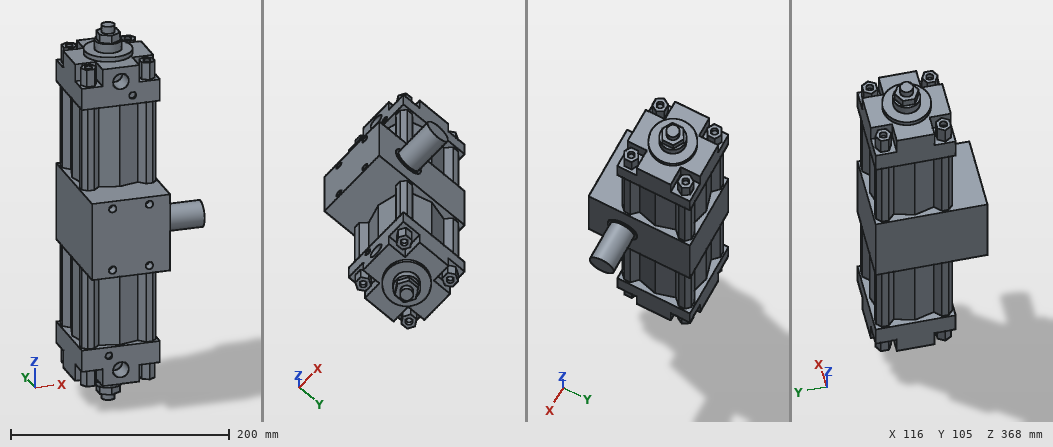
import cadquery as cq
import math


total_height = 368.0
total_width = 116.0
total_depth = 105.0

body_width = 75.0
half_width = body_width / 2
block_height = 75.0
cap_height = 37.5
cap_top = 156.0
cap_bottom = cap_top - cap_height

recess_width = 20.0
recess_depth = 16.5
recess_floor = cap_top - recess_depth

rod_spacing = 56.3
rod_offset = rod_spacing / 2
rod_sides = 8
hexagon_sides = 6
rod_width = 15.0
nut_width = 13.0
nut_hole_diameter = 6.5
nut_hole_depth = 5.5
nut_hole_point_depth = 2.0

tube_ridge = 34.5
tube_corner = 27.2

flange_diameter = 45.0
flange_height = 4.5
boss_diameter = 25.0
boss_height = 9.0
lock_nut_width = 19.5
lock_nut_height = 7.7
stud_diameter = 12.0

port_diameter = 15.0
port_depth = 18.5
port_z = 142.0
screw_diameter = 6.5
screw_depth = 2.2
screw_x = 11.5
screw_z = 127.0

mount_diameter = 7.0
mount_depth = 11.0
mount_x = 17.5
mount_z = 30.0

shaft_diameter = 25.0
shaft_y = -32.0
collar_diameter = 30.0
collar_thickness = 1.0

block_front = half_width - total_depth
rod_corners = [(-1, -1), (1, -1), (1, 1), (-1, 1)]


def across_corners(width, sides):
    """Diameter through the corners of a regular polygon with an even number of sides."""
    return width / math.cos(math.pi / sides)


def prism(width, sides, bottom, height, turn):
    """Upright regular prism on the Z axis; at turn 0 a corner points along +X."""
    outline = cq.Workplane("XY").workplane(offset=bottom).polygon(sides, across_corners(width, sides))
    return outline.extrude(height).rotate((0, 0, 0), (0, 0, 1), turn)


def disc(diameter, bottom, height):
    return cq.Workplane("XY").workplane(offset=bottom).circle(diameter / 2).extrude(height)


def front_hole(diameter, depth, face_y, x, z):
    """Cutter for a blind hole running along +Y from a front face."""
    return cq.Workplane("XZ", origin=(x, face_y, z)).circle(diameter / 2).extrude(-depth)


def make_tube():
    points = []
    for quarter in range(4):
        angle = quarter * math.pi / 2
        corner_angle = angle + math.pi / 4
        corner_radius = tube_corner * math.sqrt(2)
        points.append((tube_ridge * math.cos(angle), tube_ridge * math.sin(angle)))
        points.append((corner_radius * math.cos(corner_angle), corner_radius * math.sin(corner_angle)))
    return cq.Workplane("XY").polyline(points).close().extrude(cap_bottom)


def make_tie_rod(outward_angle):
    """Octagonal rod with a web of the same width running inward along the tube diagonal."""
    rod = prism(rod_width, rod_sides, 0, cap_bottom, 180 / rod_sides)
    web = cq.Workplane("XY").center(-rod_width / 2, 0).rect(rod_width, rod_width).extrude(cap_bottom)
    web = web.rotate((0, 0, 0), (0, 0, 1), outward_angle)
    return rod.union(web)


def make_tie_nut(turn):
    """Hexagon nut level with the cap top, with a drilled hole that ends in a conical point."""
    nut = prism(nut_width, hexagon_sides, recess_floor, recess_depth, turn)
    hole_bottom = cap_top - nut_hole_depth
    hole = disc(nut_hole_diameter, hole_bottom, nut_hole_depth)
    point = cq.Solid.makeCone(
        nut_hole_diameter / 2, 0, nut_hole_point_depth,
        pnt=cq.Vector(0, 0, hole_bottom),
        dir=cq.Vector(0, 0, -1),
    )
    return nut.cut(hole).cut(cq.Workplane(point))


def make_cap():
    cap = cq.Workplane("XY").workplane(offset=cap_bottom).rect(body_width, body_width).extrude(cap_height)
    recess_centre = half_width - recess_width / 2
    recesses = (
        cq.Workplane("XY").workplane(offset=recess_floor)
        .rect(2 * recess_centre, 2 * recess_centre, forConstruction=True).vertices()
        .rect(recess_width, recess_width).extrude(recess_depth)
    )
    cap = cap.cut(recesses)
    cap = cap.cut(front_hole(port_diameter, port_depth, -half_width, 0, port_z))
    return cap.cut(front_hole(screw_diameter, screw_depth, -half_width, screw_x, screw_z))


def make_end_stack():
    """Flange, boss, lock nut and stud on the cap top."""
    boss_bottom = cap_top + flange_height
    lock_nut_bottom = boss_bottom + boss_height
    stud_bottom = lock_nut_bottom + lock_nut_height
    stack = disc(flange_diameter, cap_top, flange_height)
    stack = stack.union(disc(boss_diameter, boss_bottom, boss_height))
    stack = stack.union(prism(lock_nut_width, hexagon_sides, lock_nut_bottom, lock_nut_height, 90))
    return stack.union(disc(stud_diameter, stud_bottom, total_height / 2 - stud_bottom))


def make_half():
    """Everything above the middle of the block."""
    half = make_tube().union(make_cap()).union(make_end_stack())
    for side_x, side_y in rod_corners:
        place = (side_x * rod_offset, side_y * rod_offset, 0)
        half = half.union(make_tie_rod(math.degrees(math.atan2(side_y, side_x))).translate(place))
    return half


def make_upper_nuts():
    """The four tie rod nuts of the upper cap, each a quarter turn from its neighbours."""
    nuts = cq.Workplane("XY")
    for index, (side_x, side_y) in enumerate(rod_corners):
        nut = make_tie_nut(90 * index)
        nuts = nuts.add(nut.translate((side_x * rod_offset, side_y * rod_offset, 0)))
    return nuts.combine()


def make_block():
    block = (
        cq.Workplane("XY", origin=(0, half_width - total_depth / 2, 0))
        .box(body_width, total_depth, block_height)
    )
    for x in (-mount_x, mount_x):
        for z in (-mount_z, mount_z):
            block = block.cut(front_hole(mount_diameter, mount_depth, block_front, x, z))
    return block


def make_shaft():
    side = cq.Workplane("YZ", origin=(half_width, shaft_y, 0))
    collar = side.circle(collar_diameter / 2).extrude(collar_thickness)
    return collar.union(side.circle(shaft_diameter / 2).extrude(total_width - body_width))


upper_half = make_half()
upper_nuts = make_upper_nuts()
lower_half = upper_half.rotate((0, 0, 0), (0, 1, 0), 180)
lower_nuts = upper_nuts.mirror("XY")

result = upper_half.union(lower_half).union(upper_nuts).union(lower_nuts)
result = result.union(make_block()).union(make_shaft())